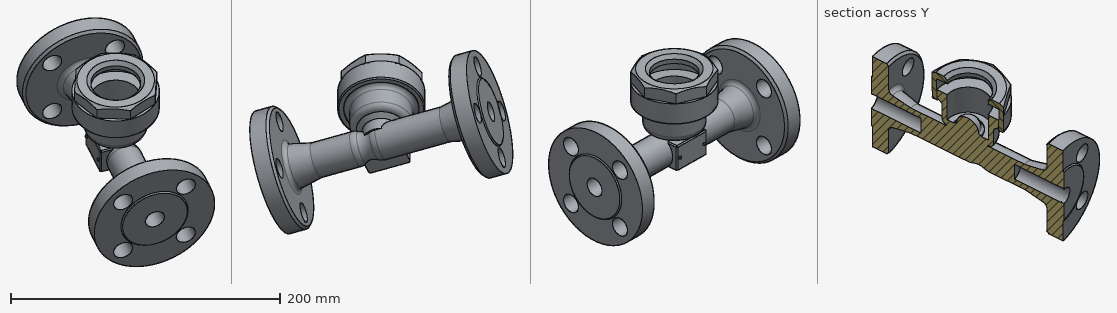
import cadquery as cq
import math


face_to_face = 175.0
flange_dia = 95.0
flange_thickness = 15.0
flange_chamfer = 2.0
raised_face_dia = 53.0
raised_face_height = 1.0
bolt_circle_dia = 70.0
bolt_hole_dia = 15.0
bolt_count = 4
bolt_start_angle = 45.0
hub_taper = 12.0
hub_fillet = 4.0
hub_length = 20.0

pipe_dia = 27.0
port_dia = 15.0
port_depth = 45.0
waist_start = 0.0
waist_end = 20.0
waist_depth = 2.3

neck_dia = 47.0
neck_corner_radius = 5.0
neck_corner_top = 18.6
neck_foot_dia = 29.0
neck_foot_z = 10.5
neck_fillet = 4.0
neck_fillet_start = 32.2
collar_dia = 56.0
collar_top = 46.3
chamber_dia = 37.0
chamber_floor = 20.0

seat_base_dia = 25.0
seat_rim_dia = 23.0
dome_dia = 20.0
seat_base_height = 1.0

plate_width = 31.0
plate_height = 20.0
block_chamfer = 1.0
block_front = 18.0
stud_dia = 2.5
stud_spacing = 26.5

cap_dia = 65.0
cap_bottom = 35.0
cap_top = 64.0
cap_edge_chamfer = 1.0
octagon_bottom = 53.2
octagon_sides = 8
crown_dia = 57.6
crown_angle = 30.0
opening_dia = 37.0
opening_chamfer = 3.0
lip_bottom = 57.2

pipe_radius = pipe_dia / 2
half_length = face_to_face / 2


def make_flange():
    """Flange with raised face and weld hub, for the -X end of the pipe."""
    face_x = -half_length + raised_face_height
    back_x = -half_length + raised_face_height + flange_thickness
    raised_radius = raised_face_dia / 2
    flange_radius = flange_dia / 2
    hub_end = back_x + hub_length

    taper = math.radians(hub_taper)
    tangent_x = back_x + hub_fillet * (1 - math.sin(taper))
    tangent_r = pipe_radius + (hub_end - tangent_x) * math.tan(taper)
    centre_x = back_x + hub_fillet
    centre_r = tangent_r + hub_fillet * math.cos(taper)
    mid_angle = math.pi + (math.pi / 2 - taper) / 2
    fillet_mid = (
        centre_x + hub_fillet * math.cos(mid_angle),
        centre_r + hub_fillet * math.sin(mid_angle),
    )
    profile = (
        cq.Workplane("XY")
        .moveTo(-half_length, 0)
        .lineTo(-half_length, raised_radius - raised_face_height)
        .lineTo(face_x, raised_radius)
        .lineTo(face_x, flange_radius)
        .lineTo(back_x - flange_chamfer, flange_radius)
        .lineTo(back_x, flange_radius - flange_chamfer)
        .lineTo(back_x, centre_r)
        .threePointArc(fillet_mid, (tangent_x, tangent_r))
        .lineTo(hub_end, pipe_radius)
        .lineTo(hub_end, 0)
        .close()
    )
    flange = profile.revolve(360, (0, 0, 0), (1, 0, 0))
    bolt_holes = (
        cq.Workplane("YZ", origin=(-half_length, 0, 0))
        .polarArray(bolt_circle_dia / 2, bolt_start_angle, 360, bolt_count)
        .circle(bolt_hole_dia / 2)
        .extrude(raised_face_height + flange_thickness)
    )
    return flange.cut(bolt_holes)


def make_pipe():
    """Solid pipe with a shallow waist beside the neck axis, made of arcs tangent to each other."""
    pipe_end = half_length - flange_thickness
    quarter = (waist_end - waist_start) / 4
    blend_radius = pipe_radius - waist_depth / 2
    return (
        cq.Workplane("XY")
        .moveTo(-pipe_end, 0)
        .lineTo(-pipe_end, pipe_radius)
        .lineTo(waist_start, pipe_radius)
        .tangentArcPoint((waist_start + quarter, blend_radius), relative=False)
        .tangentArcPoint((waist_end - quarter, blend_radius), relative=False)
        .tangentArcPoint((waist_end, pipe_radius), relative=False)
        .lineTo(pipe_end, pipe_radius)
        .lineTo(pipe_end, 0)
        .close()
        .revolve(360, (0, 0, 0), (1, 0, 0))
    )


def make_neck():
    """Round-cornered cup that widens into the collar inside the cap."""
    neck_radius = neck_dia / 2
    corner_centre_r = neck_radius - neck_corner_radius
    corner_bottom = neck_corner_top - neck_corner_radius
    corner_mid = neck_corner_radius * math.sqrt(0.5)
    collar_bottom = neck_fillet_start + neck_fillet
    fillet_mid = neck_fillet * (1 - math.sqrt(0.5))
    return (
        cq.Workplane("XZ")
        .moveTo(0, 0)
        .lineTo(neck_foot_dia / 2, 0)
        .lineTo(neck_foot_dia / 2, neck_foot_z)
        .lineTo(corner_centre_r, corner_bottom)
        .threePointArc(
            (corner_centre_r + corner_mid, neck_corner_top - corner_mid),
            (neck_radius, neck_corner_top),
        )
        .lineTo(neck_radius, neck_fillet_start)
        .threePointArc(
            (neck_radius + fillet_mid, collar_bottom - fillet_mid),
            (neck_radius + neck_fillet, collar_bottom),
        )
        .lineTo(collar_dia / 2, collar_bottom)
        .lineTo(collar_dia / 2, collar_top)
        .lineTo(0, collar_top)
        .close()
        .revolve(360, (0, 0, 0), (0, 1, 0))
    )


def make_seat():
    """Round base on the chamber floor, with a hemispherical dome that flares out at its foot."""
    dome_radius = dome_dia / 2
    flare = (seat_rim_dia - dome_dia) / 2
    flare_mid = flare * (1 - math.sqrt(0.5))
    base_z = chamber_floor + seat_base_height
    dome_z = base_z + flare
    dome_mid = dome_radius * math.sqrt(0.5)
    return (
        cq.Workplane("XZ")
        .moveTo(0, chamber_floor)
        .lineTo(seat_base_dia / 2, chamber_floor)
        .lineTo(seat_base_dia / 2, base_z)
        .lineTo(seat_rim_dia / 2, base_z)
        .threePointArc((dome_radius + flare_mid, base_z + flare_mid), (dome_radius, dome_z))
        .threePointArc((dome_mid, dome_z + dome_mid), (0, dome_z + dome_radius))
        .close()
        .revolve(360, (0, 0, 0), (0, 1, 0))
    )


def make_plate_block():
    """Name plate block on the -Y side, bevelled at the top and sides, with two round studs."""
    block_width = plate_width + 2 * block_chamfer
    block_height = plate_height + block_chamfer
    block = (
        cq.Workplane("XY", origin=(0, -block_front, -plate_height / 2))
        .box(block_width, block_front, block_height, centered=(True, False, False))
        .edges(">Z or (<Y and |Z)")
        .chamfer(block_chamfer)
    )
    for side in (-1, 1):
        stud = cq.Workplane("XY").sphere(stud_dia / 2)
        block = block.union(stud.translate((side * stud_spacing / 2, -block_front, 0)))
    return block


def make_body():
    """Flanged pipe and neck in one piece, with the chamber and a blind port at each end."""
    flange = make_flange()
    body = make_pipe().union(flange).union(flange.mirror("YZ"))
    body = body.union(make_plate_block()).union(make_neck())
    chamber = (
        cq.Workplane("XY", origin=(0, 0, chamber_floor))
        .circle(chamber_dia / 2)
        .extrude(collar_top - chamber_floor)
    )
    body = body.cut(chamber).union(make_seat())
    port = (
        cq.Workplane("YZ", origin=(-half_length, 0, 0))
        .circle(port_dia / 2)
        .extrude(port_depth)
    )
    return body.cut(port).cut(port.mirror("YZ"))


def make_cap():
    """Ring nut with an octagonal top that screws over the collar."""
    skirt = (
        cq.Workplane("XY", origin=(0, 0, cap_bottom))
        .circle(cap_dia / 2)
        .extrude(octagon_bottom - cap_bottom)
        .faces("<Z")
        .chamfer(cap_edge_chamfer)
    )
    octagon = (
        cq.Workplane("XY", origin=(0, 0, octagon_bottom))
        .polygon(octagon_sides, cap_dia)
        .extrude(cap_top - octagon_bottom)
    )
    crown_drop = (cap_dia - crown_dia) / 2 * math.tan(math.radians(crown_angle))
    crown = (
        cq.Workplane("XZ")
        .moveTo(0, octagon_bottom)
        .lineTo(cap_dia / 2, octagon_bottom)
        .lineTo(cap_dia / 2, cap_top - crown_drop)
        .lineTo(crown_dia / 2, cap_top)
        .lineTo(0, cap_top)
        .close()
        .revolve(360, (0, 0, 0), (0, 1, 0))
    )
    opening_radius = opening_dia / 2
    collar_radius = collar_dia / 2
    cavity = (
        cq.Workplane("XZ")
        .moveTo(0, cap_bottom)
        .lineTo(collar_radius, cap_bottom)
        .lineTo(collar_radius, lip_bottom)
        .lineTo(opening_radius, lip_bottom)
        .lineTo(opening_radius, cap_top - opening_chamfer)
        .lineTo(opening_radius + opening_chamfer, cap_top)
        .lineTo(0, cap_top)
        .close()
        .revolve(360, (0, 0, 0), (0, 1, 0))
    )
    return skirt.union(octagon.intersect(crown)).cut(cavity)


body = make_body()
cap = make_cap()
result = cq.Compound.makeCompound([body.solids().val(), cap.solids().val()])